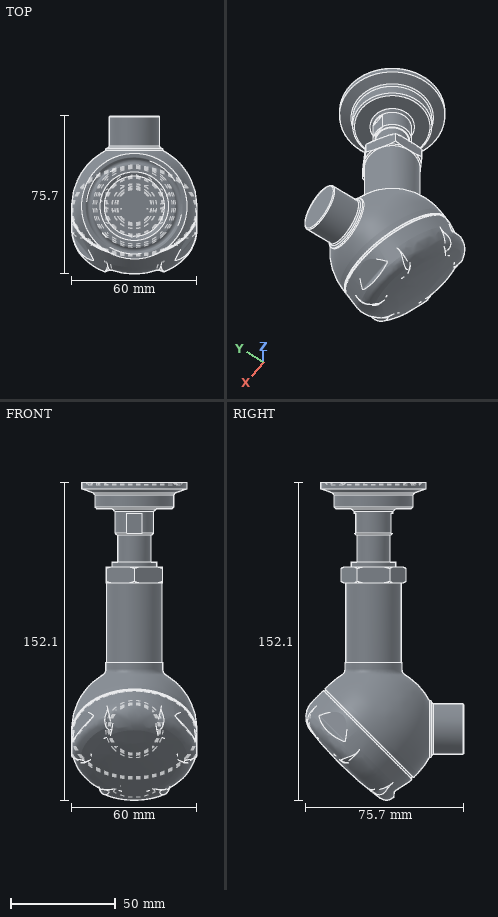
import cadquery as cq
import math


BODY_RADIUS = 30.0
BODY_CYLINDER_LENGTH = 2.9
GROOVE_WIDTH = 1.0
GROOVE_DEPTH = 0.6
CAP_TILT = 135.0

CAP_START = BODY_CYLINDER_LENGTH + GROOVE_WIDTH
CAP_APEX = 23.15
CAP_DOME_RADIUS = 170.0
CAP_SEAM_ANGLE = 30.0
SCALLOP_ROUND = 10.4
LUG_ROUND = 5.1
SCALLOP_COUNT = 3
SCALLOP_PITCH = 360.0 / SCALLOP_COUNT
FIRST_SCALLOP_ANGLE = 90.0
FIRST_LUG_ANGLE = FIRST_SCALLOP_ANGLE + SCALLOP_PITCH / 2
SCALLOP_HALF_WIDTH = 13.5
SCALLOP_WALL_TILT = 10.0
SCALLOP_WALL_SLOPE = 20.0
SCALLOP_WALL_HALF_RUN = 2.8
SCALLOP_WALL_HALF_RISE = 1.0

WALL_ARC_RADIUS = 9.1
WALL_ARC_OFFSET = 18.0
WALL_ARC_HEIGHT = 13.2
WALL_ARC_START = -20.0
WALL_ARC_SWEEP = 127.0

RECESS_TOP = 5.7
RECESS_FLOOR_END = 14.0
RECESS_END = 16.2
RECESS_DEPTH = 1.8
RECESS_WIDTH = 40.0
RECESS_CORNER_ROUND = 1.0

NECK_RADIUS = 13.7
NECK_TOP = 31.8
NECK_BLEND_RADIUS = 3.0
TUBE_RADIUS = 13.35

NUT_ACROSS_FLATS = 27.0
NUT_BOTTOM = 69.8
NUT_TOP = 77.6
NUT_CHAMFER_RADIUS = 14.2
NUT_CHAMFER_ANGLE = 30.0

WASHER_RADIUS = 10.75
WASHER_TOP = 79.8
STEM_RADIUS = 8.0
HUB_BOTTOM = 92.8
HUB_RADIUS = 9.3
HUB_CHAMFER = 0.9
HUB_ACROSS_FLATS = 17.0
FLAT_BOTTOM = 93.6
FLAT_TOP = 103.2
HUB_FLARE_BOTTOM = 104.0
HUB_FLARE = 1.3

BOSS_BOTTOM = 105.3
BOSS_RADIUS = 18.95
BOSS_CHAMFER = 0.9
BOSS_TOP = 111.9
CONE_BOTTOM = 112.9
CONE_BOTTOM_RADIUS = 19.7
FLANGE_BOTTOM = 114.9
FLANGE_TOP = 118.0
FLANGE_RADIUS = 25.25
GASKET_GROOVE_RADIUS = 21.45
GASKET_GROOVE_HALF_WIDTH = 1.5
GASKET_GROOVE_DEPTH = 1.3
GASKET_GROOVE_EDGE_ROUND = 0.5
MEMBRANE_RADIUS = 14.4
MEMBRANE_DEPTH = 1.0
RIM_INNER_RADIUS = 15.1
RIM_OUTER_RADIUS = 16.4
RIM_DROP = 0.6

PIPE_RADIUS = 12.1
PIPE_END = 43.25
PIPE_CHAMFER = 0.5
PIPE_COLLAR_RADIUS = 13.7
PIPE_COLLAR_END = 27.4
PIPE_STEP_RADIUS = 12.6
PIPE_STEP_END = 27.9
PIPE_BLEND_END = 28.7


def revolve_about_z(profile):
    """Turn a closed XZ profile, whose local axes are radius and height, about the Z axis."""
    return profile.revolve(360, (0, 0, 0), (0, 1, 0))


def turned(points):
    """Turn a closed polygon of (radius, height) points about the Z axis."""
    return revolve_about_z(cq.Workplane("XZ").polyline(points).close())


def repeated(shape, first_angle):
    """Join copies of a shape spaced evenly around the Z axis."""
    copies = shape.rotate((0, 0, 0), (0, 0, 1), first_angle)
    for index in range(1, SCALLOP_COUNT):
        angle = first_angle + index * SCALLOP_PITCH
        copies = copies.add(shape.rotate((0, 0, 0), (0, 0, 1), angle))
    return copies.combine()


def make_body():
    """Hemisphere with a short cylinder, and the narrower groove below the cap."""
    body = (
        cq.Workplane("XZ")
        .moveTo(0, -BODY_RADIUS)
        .radiusArc((BODY_RADIUS, 0), -BODY_RADIUS)
        .lineTo(BODY_RADIUS, BODY_CYLINDER_LENGTH)
        .lineTo(0, BODY_CYLINDER_LENGTH)
        .close()
    )
    groove = cq.Workplane("XY").circle(BODY_RADIUS - GROOVE_DEPTH).extrude(CAP_START)
    return revolve_about_z(body).union(groove)


def make_domed_cap(edge_round):
    """Cylinder closed by a shallow dome, with a rounded outer edge."""
    dome_drop = CAP_DOME_RADIUS - math.sqrt(CAP_DOME_RADIUS**2 - BODY_RADIUS**2)
    cap = (
        cq.Workplane("XZ")
        .moveTo(0, CAP_START)
        .lineTo(BODY_RADIUS, CAP_START)
        .lineTo(BODY_RADIUS, CAP_APEX - dome_drop)
        .radiusArc((0, CAP_APEX), -CAP_DOME_RADIUS)
        .close()
    )
    cap = revolve_about_z(cap).faces(">Z").edges("%CIRCLE").fillet(edge_round)
    return cap.rotate((0, 0, 0), (0, 0, 1), CAP_SEAM_ANGLE)


def wall_profile_point(along, above):
    """Point of the scallop wall profile, measured from its middle along and above the sloping surface."""
    slope = math.radians(SCALLOP_WALL_SLOPE)
    x = SCALLOP_HALF_WIDTH + along * math.cos(slope) + above * math.sin(slope)
    y = WALL_ARC_RADIUS - along * math.sin(slope) + above * math.cos(slope)
    return x, y


def make_scallop_wall_cutter():
    """Space beside one S-shaped scallop wall, for a scallop that faces +Y, on its +X side."""
    run = SCALLOP_WALL_HALF_RUN
    rise = SCALLOP_WALL_HALF_RISE
    bend_radius = (run**2 + rise**2) / (2 * rise)
    foot = wall_profile_point(-run, -rise)
    middle = wall_profile_point(0, 0)
    crest = wall_profile_point(run, rise)
    overlap = -run
    floor = WALL_ARC_RADIUS - 2 * rise
    outer = 2 * WALL_ARC_RADIUS
    cutter = (
        cq.Workplane("XY")
        .moveTo(overlap, floor)
        .lineTo(foot[0], floor)
        .lineTo(*foot)
        .radiusArc(middle, -bend_radius)
        .radiusArc(crest, bend_radius)
        .lineTo(crest[0], outer)
        .lineTo(overlap, outer)
        .close()
        .revolve(WALL_ARC_SWEEP, (0, 0, 0), (1, 0, 0))
        .rotate((0, 0, 0), (1, 0, 0), WALL_ARC_START)
        .translate((0, WALL_ARC_OFFSET, WALL_ARC_HEIGHT))
    )
    pivot_y = WALL_ARC_OFFSET + WALL_ARC_RADIUS / 2
    return cutter.rotate((SCALLOP_HALF_WIDTH, pivot_y, 0), (SCALLOP_HALF_WIDTH, pivot_y, 1), SCALLOP_WALL_TILT)


def make_scallop_cutter():
    """Both mirrored halves of the space above one scallop, turned to face +X."""
    half = make_scallop_wall_cutter()
    cutter = half.union(half.mirror("YZ"))
    return cutter.rotate((0, 0, 0), (0, 0, 1), -90)


def make_lug_recess():
    """Wedge with a leaning flat floor and a sloped end, for a lug that faces +X."""
    floor_x = BODY_RADIUS - RECESS_DEPTH
    lean = RECESS_DEPTH / (RECESS_FLOOR_END - RECESS_TOP)
    end_slope = RECESS_DEPTH / (RECESS_END - RECESS_FLOOR_END)
    clearance = RECESS_DEPTH
    recess = (
        cq.Workplane("XZ")
        .moveTo(floor_x, RECESS_FLOOR_END)
        .lineTo(BODY_RADIUS + clearance, RECESS_TOP - clearance / lean)
        .lineTo(BODY_RADIUS + clearance, RECESS_END + clearance / end_slope)
        .close()
        .extrude(RECESS_WIDTH / 2, both=True)
    )
    return recess.edges("<X").fillet(RECESS_CORNER_ROUND)


def make_cap():
    """Cap with alternating lugs and scallops, modelled along +Z."""
    scallops = repeated(make_scallop_cutter(), FIRST_SCALLOP_ANGLE)
    recesses = repeated(make_lug_recess(), FIRST_LUG_ANGLE)
    scallops = scallops.cut(make_domed_cap(SCALLOP_ROUND))
    return make_domed_cap(LUG_ROUND).cut(scallops).cut(recesses)


def make_housing():
    """Body and cap on the tilted axis, joined to the neck by a fillet."""
    housing = make_body().union(make_cap())
    housing = housing.rotate((0, 0, 0), (1, 0, 0), CAP_TILT)
    neck = cq.Workplane("XY").circle(NECK_RADIUS).extrude(NECK_TOP)
    seam_height = math.sqrt(BODY_RADIUS**2 - NECK_RADIUS**2)
    seam = cq.selectors.BoxSelector(
        (-NECK_RADIUS, -NECK_RADIUS, seam_height - 1),
        (NECK_RADIUS, NECK_RADIUS, seam_height + 1),
    )
    return housing.union(neck).edges(seam).fillet(NECK_BLEND_RADIUS)


def make_tube_and_nut():
    """Tube, hexagon nut with chamfered corners, and the washer on top of it."""
    corner_radius = NUT_ACROSS_FLATS / math.sqrt(3)
    chamfer_drop = (corner_radius - NUT_CHAMFER_RADIUS) * math.tan(math.radians(NUT_CHAMFER_ANGLE))
    nut = (
        cq.Workplane("XY")
        .workplane(offset=NUT_BOTTOM)
        .polygon(6, 2 * corner_radius)
        .extrude(NUT_TOP - NUT_BOTTOM)
        .rotate((0, 0, 0), (0, 0, 1), 90)
    )
    chamfered_envelope = turned(
        [
            (0, NUT_BOTTOM),
            (NUT_CHAMFER_RADIUS, NUT_BOTTOM),
            (corner_radius, NUT_BOTTOM + chamfer_drop),
            (corner_radius, NUT_TOP - chamfer_drop),
            (NUT_CHAMFER_RADIUS, NUT_TOP),
            (0, NUT_TOP),
        ]
    )
    tube = cq.Workplane("XY").circle(TUBE_RADIUS).extrude(NUT_TOP)
    washer = cq.Workplane("XY").circle(WASHER_RADIUS).extrude(WASHER_TOP)
    return tube.union(nut.intersect(chamfered_envelope)).union(washer)


def make_stem():
    """Stem and hub with two spanner flats facing -Y and +Y."""
    stem = turned(
        [
            (0, NUT_TOP),
            (STEM_RADIUS, NUT_TOP),
            (STEM_RADIUS, HUB_BOTTOM),
            (HUB_RADIUS - HUB_CHAMFER, HUB_BOTTOM),
            (HUB_RADIUS, HUB_BOTTOM + HUB_CHAMFER),
            (HUB_RADIUS, HUB_FLARE_BOTTOM),
            (HUB_RADIUS + HUB_FLARE, BOSS_BOTTOM),
            (0, BOSS_BOTTOM),
        ]
    )
    flat_height = FLAT_TOP - FLAT_BOTTOM
    flat_cut = cq.Workplane("XY").box(
        2 * HUB_RADIUS, HUB_RADIUS, flat_height, centered=(True, False, False)
    )
    flat_cut = flat_cut.translate((0, HUB_ACROSS_FLATS / 2, FLAT_BOTTOM))
    return stem.cut(flat_cut).cut(flat_cut.mirror("XZ"))


def make_clamp_flange():
    """Boss and tapered clamp flange with a gasket groove and a recessed membrane in its face."""
    flange = turned(
        [
            (0, BOSS_BOTTOM),
            (BOSS_RADIUS - BOSS_CHAMFER, BOSS_BOTTOM),
            (BOSS_RADIUS, BOSS_BOTTOM + BOSS_CHAMFER),
            (BOSS_RADIUS, BOSS_TOP),
            (CONE_BOTTOM_RADIUS, CONE_BOTTOM),
            (FLANGE_RADIUS, FLANGE_BOTTOM),
            (FLANGE_RADIUS, FLANGE_TOP),
            (0, FLANGE_TOP),
        ]
    )
    groove = (
        cq.Workplane("XZ")
        .moveTo(GASKET_GROOVE_RADIUS - GASKET_GROOVE_HALF_WIDTH, FLANGE_TOP)
        .threePointArc(
            (GASKET_GROOVE_RADIUS, FLANGE_TOP - GASKET_GROOVE_DEPTH),
            (GASKET_GROOVE_RADIUS + GASKET_GROOVE_HALF_WIDTH, FLANGE_TOP),
        )
        .close()
    )
    flange = flange.cut(revolve_about_z(groove))
    flange = flange.faces("%TORUS").edges("%CIRCLE").fillet(GASKET_GROOVE_EDGE_ROUND)
    recess = (
        cq.Workplane("XZ")
        .moveTo(0, FLANGE_TOP - MEMBRANE_DEPTH)
        .lineTo(MEMBRANE_RADIUS, FLANGE_TOP - MEMBRANE_DEPTH)
        .lineTo(RIM_INNER_RADIUS, FLANGE_TOP - RIM_DROP)
        .tangentArcPoint((RIM_OUTER_RADIUS, FLANGE_TOP), relative=False)
        .lineTo(0, FLANGE_TOP)
        .close()
    )
    return flange.cut(revolve_about_z(recess))


def make_pipe():
    """Side pipe along +Y with a stepped collar where it meets the body."""
    pipe = turned(
        [
            (0, 0),
            (PIPE_COLLAR_RADIUS, 0),
            (PIPE_COLLAR_RADIUS, PIPE_COLLAR_END),
            (PIPE_STEP_RADIUS, PIPE_STEP_END),
            (PIPE_RADIUS, PIPE_BLEND_END),
            (PIPE_RADIUS, PIPE_END - PIPE_CHAMFER),
            (PIPE_RADIUS - PIPE_CHAMFER, PIPE_END),
            (0, PIPE_END),
        ]
    )
    return pipe.rotate((0, 0, 0), (1, 0, 0), -90)


result = (
    make_housing()
    .union(make_tube_and_nut())
    .union(make_stem())
    .union(make_clamp_flange())
    .union(make_pipe())
)